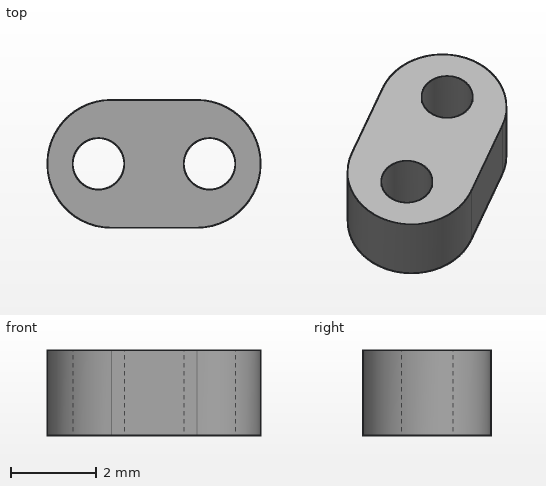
import cadquery as cq

length = 5.0
width = 3.0
height = 2.0

hole_diameter = 1.2
end_wall = 0.6
hole_spacing = length - 2 * end_wall - hole_diameter

body = cq.Workplane("XY").slot2D(length, width).extrude(height)

result = (
    body.faces(">Z")
    .workplane()
    .rarray(hole_spacing, 0.05, 2, 1)
    .hole(hole_diameter)
)